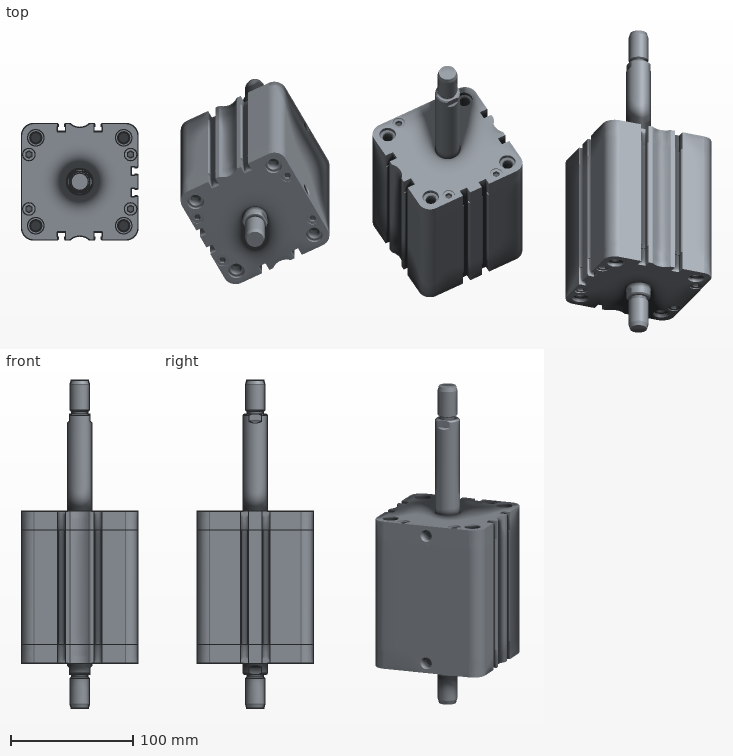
import cadquery as cq
import math

BODY_SIDE = 95.5
CORNER_RADIUS = 10.2
BODY_HEIGHT = 124.4
CAP_THICKNESS = 15.3
CAP_DRAFT_DEGREES = 0.4
BARREL_HEIGHT = BODY_HEIGHT - 2 * CAP_THICKNESS
BODY_MIDDLE = BODY_HEIGHT / 2

FRONT_SLOT_OFFSET = 15.0
SIDE_SLOT_OFFSET = 8.8
SLOT_WIDTH = 6.7
FRONT_SLOT_DEPTH = 6.5
FRONT_SLOT_DEPTH_IN_CAP = 7.0
SIDE_SLOT_DEPTH = 5.5
SLOT_MOUTH = 5.0
SLOT_LIP = 2.7
MOUTH_CHAMFER = (SLOT_WIDTH - SLOT_MOUTH) / 2

GROOVE_RADIUS = 11.5
GROOVE_DEPTH = 3.2
GROOVE_EDGE_RADIUS = 1.0

MOUNT_OFFSET = 36.0
MOUNT_BORE = 8.3
MOUNT_CHAMFER_DIAMETER = 10.0
MOUNT_COUNTERBORE = 13.5
MOUNT_COUNTERBORE_DEPTH = 3.2

SCREW_X = 41.5
SCREW_Y = 22.2
SCREW_HEAD = 10.2
SCREW_HEAD_SINK = 0.8
SOCKET_ACROSS_FLATS = 5.0
SOCKET_DEPTH = 2.7

PORT_BORE = 8.5
PORT_MOUTH = 10.2
PORT_DEPTH = 10.7
PORT_FROM_CAP_END = 8.3

ROD_DIAMETER = 20.0
ROD_CHAMFER = 1.0
ROD_LENGTH = 268.0
ROD_BOTTOM = -36.7
ROD_TOP = ROD_BOTTOM + ROD_LENGTH
THREAD_DIAMETER = 16.0
THREAD_END_DIAMETER = 14.0
THREAD_END_LENGTH = 3.5
THREAD_RUNOUT = 1.0
NECK_DIAMETER = 13.0
NECK_LENGTH = 2.1
SPIGOT_LENGTH = 27.5
FLATS_ACROSS = 17.2
FLATS_LENGTH = 6.0

ROD_HOLE = 20.6
ROD_HOLE_MOUTH = 22.0


def cut_all(body, cutters):
    """Body with every cutter taken out of it."""
    for cutter in cutters:
        body = body.cut(cutter)
    return body


def make_barrel_blank():
    """Rounded square prism with a round groove along the front and back faces."""
    blank = cq.Workplane("XY").workplane(offset=CAP_THICKNESS)
    blank = blank.rect(BODY_SIDE, BODY_SIDE).extrude(BARREL_HEIGHT)
    blank = blank.edges("|Z").fillet(CORNER_RADIUS)
    groove_axis = BODY_SIDE / 2 - GROOVE_DEPTH + GROOVE_RADIUS
    groove_bars = (
        cq.Workplane("XY")
        .pushPoints([(0, groove_axis), (0, -groove_axis)])
        .circle(GROOVE_RADIUS)
        .extrude(BODY_HEIGHT)
    )
    blank = blank.cut(groove_bars)
    near_groove = cq.selectors.BoxSelector(
        (-GROOVE_RADIUS, -BODY_SIDE, 0), (GROOVE_RADIUS, BODY_SIDE, BODY_HEIGHT)
    )
    return blank.edges("|Z").edges(near_groove).fillet(GROOVE_EDGE_RADIUS)


def make_cap_blank():
    """Continuation of the barrel outline, drafted inwards towards the top."""
    outline = make_barrel_blank().faces(">Z").wires().toPending()
    return outline.extrude(CAP_THICKNESS, combine=False, taper=CAP_DRAFT_DEGREES)


def place_on_slot_faces(front_cutter, side_cutter):
    """Copies of the slot cutters, both made for the +X face, at every slot position."""
    copies = []
    for sign in (1, -1):
        copies.append(side_cutter.translate((0, sign * SIDE_SLOT_OFFSET, 0)))
        for turn in (90, -90):
            turned = front_cutter.rotate((0, 0, 0), (0, 0, 1), turn)
            copies.append(turned.translate((sign * FRONT_SLOT_OFFSET, 0, 0)))
    return copies


def barrel_slot_cutter(depth):
    """T-shaped slot with a chamfered mouth, over the barrel height."""
    face = BODY_SIDE / 2
    half_slot = SLOT_WIDTH / 2
    half_mouth = SLOT_MOUTH / 2
    lip = face - SLOT_LIP
    floor = face - depth
    return (
        cq.Workplane("XY").workplane(offset=CAP_THICKNESS)
        .moveTo(floor, -half_slot)
        .lineTo(lip, -half_slot)
        .lineTo(lip, -half_mouth)
        .lineTo(face - MOUTH_CHAMFER, -half_mouth)
        .lineTo(face, -half_slot)
        .lineTo(face, half_slot)
        .lineTo(face - MOUTH_CHAMFER, half_mouth)
        .lineTo(lip, half_mouth)
        .lineTo(lip, half_slot)
        .lineTo(floor, half_slot)
        .close()
        .extrude(BARREL_HEIGHT)
    )


def cap_slot_cutter(depth):
    """Plain slot through the top cap, over the barrel slot."""
    slot = cq.Workplane("XY").box(depth, SLOT_WIDTH, CAP_THICKNESS, centered=(False, True, False))
    return slot.translate((BODY_SIDE / 2 - depth, 0, BODY_HEIGHT - CAP_THICKNESS))


def make_barrel():
    """Barrel with its sensor slots, bored to fit the rod."""
    slots = place_on_slot_faces(
        barrel_slot_cutter(FRONT_SLOT_DEPTH), barrel_slot_cutter(SIDE_SLOT_DEPTH)
    )
    barrel = cut_all(make_barrel_blank(), slots)
    return barrel.faces(">Z").workplane(origin=(0, 0, 0)).hole(ROD_DIAMETER)


def chamfered_hole_cutter(bore, mouth, depth):
    """Hole going down from z = 0, with a 45 degree chamfer at its mouth."""
    chamfer = (mouth - bore) / 2
    profile = (
        cq.Workplane("XZ")
        .moveTo(0, 0)
        .lineTo(mouth / 2, 0)
        .lineTo(bore / 2, -chamfer)
        .lineTo(bore / 2, -depth)
        .lineTo(0, -depth)
        .close()
    )
    return profile.revolve(360, (0, 0, 0), (0, 1, 0))


def mount_hole_cutter():
    """Counterbored and chamfered hole going down from z = 0 through a cap."""
    counterbore = cq.Workplane("XY").circle(MOUNT_COUNTERBORE / 2).extrude(-MOUNT_COUNTERBORE_DEPTH)
    thread = chamfered_hole_cutter(
        MOUNT_BORE, MOUNT_CHAMFER_DIAMETER, CAP_THICKNESS - MOUNT_COUNTERBORE_DEPTH
    )
    return counterbore.union(thread.translate((0, 0, -MOUNT_COUNTERBORE_DEPTH)))


def screw_cutter():
    """Sunk screw head with a hexagon socket whose corners point along Y."""
    socket_corners = SOCKET_ACROSS_FLATS / math.cos(math.pi / 6)
    head = cq.Workplane("XY").circle(SCREW_HEAD / 2).extrude(-SCREW_HEAD_SINK)
    socket = cq.Workplane("XY").polygon(6, socket_corners).extrude(-SCREW_HEAD_SINK - SOCKET_DEPTH)
    return head.union(socket.rotate((0, 0, 0), (0, 0, 1), 90))


def place_in_quadrants(cutter, x, y):
    """Four copies of a cutter on the outer face of the top cap."""
    return [
        cutter.translate((sign_x * x, sign_y * y, BODY_HEIGHT))
        for sign_x in (1, -1)
        for sign_y in (1, -1)
    ]


def port_cutter():
    """Air port in the -X face of the top cap, starting flush with the barrel side."""
    port = chamfered_hole_cutter(PORT_BORE, PORT_MOUTH, PORT_DEPTH)
    port = port.rotate((0, 0, 0), (0, 1, 0), -90)
    return port.translate((-BODY_SIDE / 2, 0, BODY_HEIGHT - PORT_FROM_CAP_END))


def make_top_cap():
    """Drafted cap with its slots, mounting holes, screws, air port and rod hole."""
    slots = place_on_slot_faces(
        cap_slot_cutter(FRONT_SLOT_DEPTH_IN_CAP), cap_slot_cutter(SIDE_SLOT_DEPTH)
    )
    cap = cut_all(make_cap_blank(), slots)
    cap = cut_all(cap, place_in_quadrants(mount_hole_cutter(), MOUNT_OFFSET, MOUNT_OFFSET))
    cap = cut_all(cap, place_in_quadrants(screw_cutter(), SCREW_X, SCREW_Y))
    cap = cap.cut(port_cutter())
    rod_hole = chamfered_hole_cutter(ROD_HOLE, ROD_HOLE_MOUTH, CAP_THICKNESS)
    return cap.cut(rod_hole.translate((0, 0, BODY_HEIGHT)))


def make_end_caps():
    """Top cap and its mirror image at the bottom of the housing."""
    top_cap = make_top_cap()
    bottom_cap = top_cap.mirror("XY", (0, 0, BODY_MIDDLE))
    return [top_cap, bottom_cap]


def rod_end_profile():
    """(radius, distance from the rod end) along one end of the rod."""
    thread_start = SPIGOT_LENGTH - NECK_LENGTH
    return [
        (THREAD_END_DIAMETER / 2, 0),
        (THREAD_DIAMETER / 2, THREAD_END_LENGTH),
        (THREAD_DIAMETER / 2, thread_start - THREAD_RUNOUT),
        (NECK_DIAMETER / 2, thread_start),
        (NECK_DIAMETER / 2, SPIGOT_LENGTH),
        (ROD_DIAMETER / 2 - ROD_CHAMFER, SPIGOT_LENGTH),
        (ROD_DIAMETER / 2, SPIGOT_LENGTH + ROD_CHAMFER),
    ]


def flat_cutter():
    """Wrench flat on the +X side of the top rod end, with a 45 degree run-out."""
    flat = FLATS_ACROSS / 2
    outside = ROD_DIAMETER / 2
    shoulder = ROD_TOP - SPIGOT_LENGTH
    flat_end = shoulder - FLATS_LENGTH
    return (
        cq.Workplane("XZ")
        .moveTo(flat, shoulder)
        .lineTo(flat, flat_end)
        .lineTo(outside, flat_end - (outside - flat))
        .lineTo(outside, shoulder)
        .close()
        .extrude(outside, both=True)
    )


def make_piston_rod():
    """Through rod with the same threaded, flatted end at the top and the bottom."""
    bottom_end = [(radius, ROD_BOTTOM + distance) for radius, distance in rod_end_profile()]
    top_end = [(radius, ROD_TOP - distance) for radius, distance in reversed(rod_end_profile())]
    outline = [(0, ROD_BOTTOM)] + bottom_end + top_end + [(0, ROD_TOP)]
    rod = cq.Workplane("XZ").polyline(outline).close().revolve(360, (0, 0, 0), (0, 1, 0))
    rod_middle = (0, 0, (ROD_BOTTOM + ROD_TOP) / 2)
    right_top = flat_cutter()
    left_top = right_top.mirror("YZ")
    for top_flat in (right_top, left_top):
        rod = rod.cut(top_flat)
        rod = rod.cut(top_flat.mirror("XY", rod_middle))
    return rod


barrel = make_barrel()
top_cap, bottom_cap = make_end_caps()
piston_rod = make_piston_rod()

result = cq.Compound.makeCompound(
    [barrel.val(), top_cap.val(), bottom_cap.val(), piston_rod.val()]
)